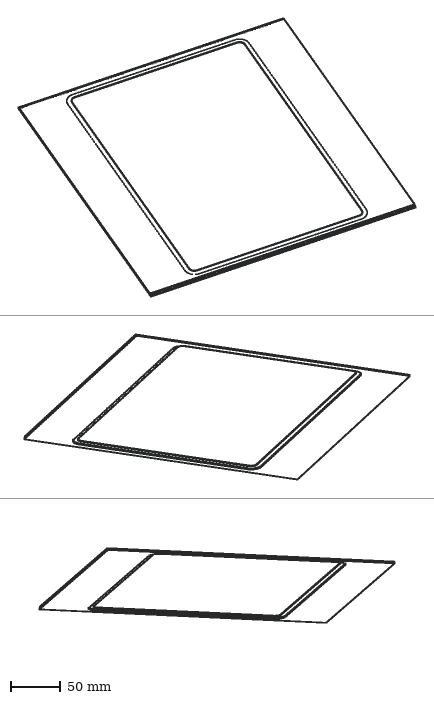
import cadquery as cq

length_x = 306.2
length_y = 297.5
thickness = 2.5

lip_width = 2.5
lip_thickness = 1.25

window_x = 281.7
window_y = 194.0
window_radius = 5.8

rebate_margin = 5.0
rebate_depth = 1.5


def rounded_block(size_x, size_y, height, radius):
    """Block standing on Z = 0 with rounded vertical edges."""
    block = cq.Workplane("XY").rect(size_x, size_y).extrude(height)
    return block.edges("|Z").fillet(radius)


def stepped_plate():
    """Thin full-width base carrying a narrower, full-thickness middle."""
    base = cq.Workplane("XY").box(length_x, length_y, lip_thickness, centered=(True, True, False))
    middle_x = length_x - 2 * lip_width
    middle = cq.Workplane("XY").box(middle_x, length_y, thickness, centered=(True, True, False))
    return base.union(middle)


window = rounded_block(window_x, window_y, thickness, window_radius)
rebate = rounded_block(
    window_x + 2 * rebate_margin,
    window_y + 2 * rebate_margin,
    rebate_depth,
    window_radius + rebate_margin,
)

result = stepped_plate().cut(window).cut(rebate)